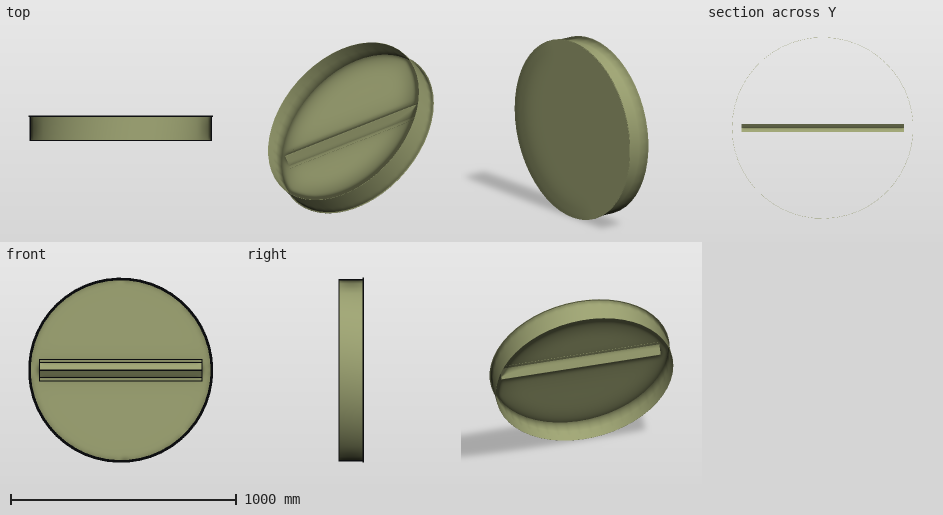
import cadquery as cq
import math

flange_diameter = 816.0
total_depth = 109.0
sheet = 1.0

collar_diameter = 803.5

lid_diameter = 811.0

stiffener_length = 720.0
stiffener_width = 96.0
ridge_width = 67.0
crest_width = 2.0
ridge_height = (ridge_width - crest_width) / 2

back_y = total_depth / 2
lid_front_y = back_y - sheet
lip_front_y = lid_front_y - sheet
collar_depth = total_depth - sheet


def cylinder(diameter, start_y, length):
    """Solid cylinder that runs from start_y toward -Y."""
    return cq.Workplane("XZ", origin=(0, start_y, 0)).circle(diameter / 2).extrude(length)


def make_lid():
    return cylinder(lid_diameter, back_y, sheet)


def make_collar():
    wall = cylinder(collar_diameter, lid_front_y, collar_depth)
    flange = cylinder(flange_diameter, lid_front_y, sheet)
    bore = cylinder(collar_diameter - 2 * sheet, lid_front_y, collar_depth)
    return wall.union(flange).cut(bore)


def make_stiffener():
    """Bent sheet of constant thickness, with its lips flat on the lid."""
    lip_edge = stiffener_width / 2
    outer_foot = ridge_width / 2
    outer_crest = crest_width / 2
    outer_crest_y = lip_front_y - ridge_height
    inner_corner_y = outer_crest_y - outer_crest + sheet * math.sqrt(2)
    inner_foot = lid_front_y - inner_corner_y
    profile = [
        (lid_front_y, -lip_edge),
        (lid_front_y, -inner_foot),
        (inner_corner_y, 0),
        (lid_front_y, inner_foot),
        (lid_front_y, lip_edge),
        (lip_front_y, lip_edge),
        (lip_front_y, outer_foot),
        (outer_crest_y, outer_crest),
        (outer_crest_y, -outer_crest),
        (lip_front_y, -outer_foot),
        (lip_front_y, -lip_edge),
    ]
    return (
        cq.Workplane("YZ", origin=(-stiffener_length / 2, 0, 0))
        .polyline(profile)
        .close()
        .extrude(stiffener_length)
    )


lid = make_lid()
collar = make_collar()
stiffener = make_stiffener()

result = cq.Compound.makeCompound([lid.val(), collar.val(), stiffener.val()])